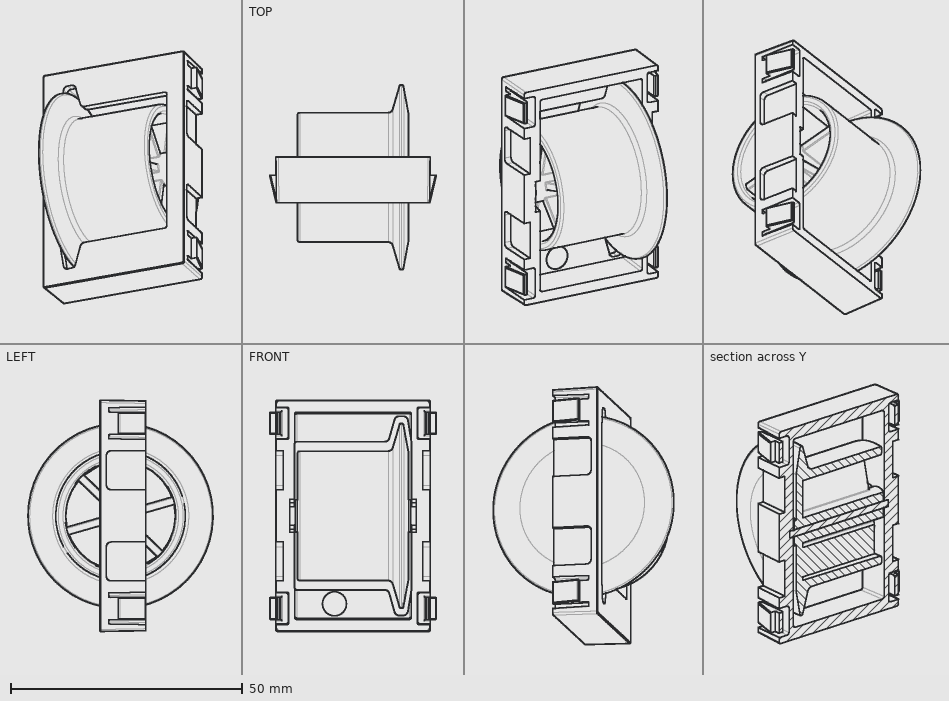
import cadquery as cq
import math

FRAME_WIDTH = 33.4
FRAME_HEIGHT = 50.0
FRAME_DEPTH = 10.0
BACK_Y = 4.5
FRONT_Y = BACK_Y - FRAME_DEPTH
DRAFT = 1.0
FRAME_CORNER = 0.5
BACK_CHAMFER = 0.2
DRAFT_SLOPE = math.tan(math.radians(DRAFT))

PLATE_THICKNESS = 2.0
PLATE_Y = BACK_Y - PLATE_THICKNESS
WINDOW_HALF_WIDTH = 12.6
WINDOW_FRONT_HALF_HEIGHT = 22.4
WINDOW_REAR_HALF_HEIGHT = 22.1
WINDOW_ROUND = 0.5

DRUM_GAP_HALF_HEIGHT = 16.0
FLANGE_GAP_HALF_HEIGHT = 21.5
FLANGE_GAP_FOOT_X = 7.65
FLANGE_GAP_LEFT_X = 9.2
FLANGE_GAP_RIGHT_X = 11.7
FLANGE_GAP_ROUND = 1.0

MARK_RADIUS = 2.6
MARK_DEPTH = 0.1
MARK_X = -4.0
MARK_Z = -19.0

LATCH_Z = 20.0
POCKET_HALF_HEIGHT = 3.5
POCKET_INNER_X = 13.85
POCKET_OVERRUN = 2.5
TONGUE_HALF_HEIGHT = 2.4
TONGUE_INNER_X = 15.6
TONGUE_TIP_OUTER_X = 16.6
TONGUE_TIP_BEVEL = 0.35
TONGUE_ROOT_ROUND = 0.3
HOOK_X = 17.95
HOOK_Y = 0.5
HOOK_LAND = 0.3
HOOK_BEVEL = 0.2

RECESS_Z = 9.85
RECESS_HEIGHT = 8.4
RECESS_DEPTH = 1.6
RECESS_BACK_Y = 3.05
RECESS_ROUND = 1.0

AXLE_RADIUS = 2.0
SEAT_DEPTH = 1.1
SEAT_X = WINDOW_HALF_WIDTH + SEAT_DEPTH
SEAT_MOUTH_HALF = 3.55
SEAT_THROAT_HALF = 2.85
SEAT_THROAT_Y = -AXLE_RADIUS

DRUM_RADIUS = 14.0
WHEEL_HALF_WIDTH = 12.0
DRUM_EDGE_ROUND = 0.5
FLANGE_RADIUS = 20.0
FLANGE_FOOT_X = 8.35
FLANGE_TIP_LEFT_X = 10.1
FLANGE_TIP_RIGHT_X = 10.85
FLANGE_FACE_RADIUS = 13.8
FLANGE_FOOT_ROUND = 1.0
FLANGE_TIP_ROUND = 0.45
BORE_RADIUS = 12.0
BORE_FLOOR_RADIUS = 11.8
BORE_MOUTH_ROUND = 0.5
WEB_THICKNESS = 2.0
BORE_FLOOR_X = WHEEL_HALF_WIDTH - WEB_THICKNESS
HUB_RADIUS = 3.5
HUB_HALF_LENGTH = 12.5

SPOKE_COUNT = 6
SPOKE_ANGLE = -16.0
SPOKE_FRONT_X = -10.0
SPOKE_THICKNESS = 1.7
SPOKE_EDGE_ROUND = 0.2

SIDES = (-1, 1)


def on_side(left_feature, side):
    """Return a feature modelled on the -X side, mirrored when it belongs to the +X side."""
    return left_feature if side < 0 else left_feature.mirror("YZ")


def frame_block():
    chamfer_gain = 2 * BACK_CHAMFER * DRAFT_SLOPE
    block = (
        cq.Workplane("XZ", origin=(0, BACK_Y, 0))
        .rect(FRAME_WIDTH + chamfer_gain, FRAME_HEIGHT + chamfer_gain)
        .extrude(FRAME_DEPTH, taper=DRAFT)
        .edges("not(>Y or <Y)")
        .fillet(FRAME_CORNER)
    )
    return block.faces(">Y").edges().chamfer(BACK_CHAMFER)


def window():
    """Cavity with sloping floor and ceiling, rounded at its side walls."""
    profile = [
        (FRONT_Y, -WINDOW_FRONT_HALF_HEIGHT),
        (PLATE_Y, -WINDOW_REAR_HALF_HEIGHT),
        (PLATE_Y, WINDOW_REAR_HALF_HEIGHT),
        (FRONT_Y, WINDOW_FRONT_HALF_HEIGHT),
    ]
    cavity = cq.Workplane("YZ").polyline(profile).close().extrude(WINDOW_HALF_WIDTH, both=True)
    return cavity.edges("(<X or >X) and (not <Y)").fillet(WINDOW_ROUND)


def plate_opening():
    """Wheel outline with clearance, cut through the back plate."""
    upper = [
        (-WINDOW_HALF_WIDTH, DRUM_GAP_HALF_HEIGHT),
        (FLANGE_GAP_FOOT_X, DRUM_GAP_HALF_HEIGHT),
        (FLANGE_GAP_LEFT_X, FLANGE_GAP_HALF_HEIGHT),
        (FLANGE_GAP_RIGHT_X, FLANGE_GAP_HALF_HEIGHT),
        (WINDOW_HALF_WIDTH, DRUM_GAP_HALF_HEIGHT),
    ]
    lower = [(x, -z) for x, z in reversed(upper)]
    opening = (
        cq.Workplane("XZ", origin=(0, BACK_Y, 0))
        .polyline(upper + lower)
        .close()
        .extrude(PLATE_THICKNESS + WINDOW_ROUND)
    )
    opening = opening.edges("|Y").edges("<X").fillet(WINDOW_ROUND)
    slack = 0.05
    flange_corners = cq.selectors.BoxSelector(
        (FLANGE_GAP_FOOT_X - slack, FRONT_Y, -FRAME_HEIGHT),
        (FLANGE_GAP_RIGHT_X + slack, BACK_Y, FRAME_HEIGHT),
    )
    return opening.edges("|Y").edges(flange_corners).fillet(FLANGE_GAP_ROUND)


def plate_mark():
    return (
        cq.Workplane("XZ", origin=(MARK_X, PLATE_Y + MARK_DEPTH, MARK_Z))
        .circle(MARK_RADIUS)
        .extrude(MARK_DEPTH)
    )


def latch_pocket(side, z):
    outer_x = FRAME_WIDTH / 2 + POCKET_OVERRUN
    pocket = (
        cq.Workplane("XZ", origin=(-(outer_x + POCKET_INNER_X) / 2, FRONT_Y, z))
        .rect(outer_x - POCKET_INNER_X, 2 * POCKET_HALF_HEIGHT)
        .extrude(FRONT_Y - PLATE_Y, taper=DRAFT)
        .edges("not(>Y or <Y)")
        .fillet(FRAME_CORNER)
    )
    return on_side(pocket, side)


def wall_x(y):
    """Distance of the drafted outer side wall from the middle plane."""
    return FRAME_WIDTH / 2 - (BACK_Y - BACK_CHAMFER - y) * DRAFT_SLOPE


def latch_tongue(side, z):
    tongue = (
        cq.Workplane("XY", origin=(0, 0, z))
        .polyline([
            (-TONGUE_INNER_X, PLATE_Y),
            (-TONGUE_INNER_X, FRONT_Y + TONGUE_TIP_BEVEL),
            (-TONGUE_INNER_X - TONGUE_TIP_BEVEL, FRONT_Y),
            (-TONGUE_TIP_OUTER_X, FRONT_Y),
            (-HOOK_X, HOOK_Y - HOOK_LAND),
            (-HOOK_X, HOOK_Y),
            (-wall_x(HOOK_Y), HOOK_Y),
            (-wall_x(PLATE_Y), PLATE_Y),
        ])
        .close()
        .extrude(TONGUE_HALF_HEIGHT, both=True)
    )
    ramp_middle = (
        -(TONGUE_TIP_OUTER_X + HOOK_X) / 2,
        (FRONT_Y + HOOK_Y - HOOK_LAND) / 2,
        z,
    )
    ramp = tongue.faces(cq.selectors.NearestToPointSelector(ramp_middle))
    hook = ramp.edges("(not |Z) or <Y").chamfer(HOOK_BEVEL)
    return on_side(hook, side)


def round_tongue_root(housing, side, z):
    """Fillet the inner side, top and bottom of a tongue where it meets the pocket floor."""
    reach = 0.05
    inner_x = side * (TONGUE_INNER_X - reach)
    outer_x = side * (FRAME_WIDTH / 2 - reach)
    half_height = TONGUE_HALF_HEIGHT + reach
    root = cq.selectors.BoxSelector(
        (min(inner_x, outer_x), PLATE_Y - reach, z - half_height),
        (max(inner_x, outer_x), PLATE_Y + reach, z + half_height),
    )
    return housing.edges(root).fillet(TONGUE_ROOT_ROUND)


def side_recess(side, z):
    depth_y = RECESS_BACK_Y - FRONT_Y
    recess = (
        cq.Workplane("XY")
        .box(RECESS_DEPTH, depth_y, RECESS_HEIGHT, centered=(False, False, True))
        .edges("|X and >Y")
        .fillet(RECESS_ROUND)
        .translate((-FRAME_WIDTH / 2, FRONT_Y, z))
    )
    return on_side(recess, side)


def axle_seat():
    """Slots in both side walls: a funnel from the front, then a round-ended seat."""
    funnel = (
        cq.Workplane("YZ")
        .polyline([
            (FRONT_Y, -SEAT_MOUTH_HALF),
            (SEAT_THROAT_Y, -SEAT_THROAT_HALF),
            (SEAT_THROAT_Y, SEAT_THROAT_HALF),
            (FRONT_Y, SEAT_MOUTH_HALF),
        ])
        .close()
        .extrude(SEAT_X, both=True)
    )
    slot = (
        cq.Workplane("YZ")
        .moveTo(SEAT_THROAT_Y, -AXLE_RADIUS)
        .lineTo(0, -AXLE_RADIUS)
        .threePointArc((AXLE_RADIUS, 0), (0, AXLE_RADIUS))
        .lineTo(SEAT_THROAT_Y, AXLE_RADIUS)
        .close()
        .extrude(SEAT_X, both=True)
    )
    return funnel.union(slot)


def make_housing():
    housing = frame_block().cut(window()).cut(plate_opening()).cut(plate_mark()).cut(axle_seat())
    for side in SIDES:
        for z in (-LATCH_Z, LATCH_Z):
            housing = housing.cut(latch_pocket(side, z)).union(latch_tongue(side, z))
            housing = round_tongue_root(housing, side, z)
        for z in (-RECESS_Z, RECESS_Z):
            housing = housing.cut(side_recess(side, z))
    return housing


def revolve_about_x(profile):
    """Revolve (x, radius) points about the X axis."""
    return cq.Workplane("XY").polyline(profile).close().revolve(360, (0, 0, 0), (1, 0, 0))


def rim_at(x, radius):
    """Select circular edges around the X axis at x, up to the given radius."""
    slack = 0.025
    outer = radius + slack
    return cq.selectors.BoxSelector(
        (x - slack, -outer, -outer), (x + slack, outer, outer), boundingbox=True
    )


def spoke(angle):
    """Radial rib with rounded front edges, turned about the X axis from +Y."""
    upright = 90
    length_x = BORE_FLOOR_X - SPOKE_FRONT_X
    rib = (
        cq.Workplane("XY")
        .box(length_x, SPOKE_THICKNESS, BORE_RADIUS, centered=(False, True, False))
        .translate((SPOKE_FRONT_X, 0, 0))
        .edges("|Z and <X")
        .fillet(SPOKE_EDGE_ROUND)
    )
    return rib.rotate((0, 0, 0), (1, 0, 0), angle - upright)


def make_wheel():
    drum = revolve_about_x([
        (-WHEEL_HALF_WIDTH, 0),
        (-WHEEL_HALF_WIDTH, DRUM_RADIUS),
        (FLANGE_FOOT_X, DRUM_RADIUS),
        (FLANGE_TIP_LEFT_X, FLANGE_RADIUS),
        (FLANGE_TIP_RIGHT_X, FLANGE_RADIUS),
        (WHEEL_HALF_WIDTH, FLANGE_FACE_RADIUS),
        (WHEEL_HALF_WIDTH, 0),
    ])
    drum = drum.edges(rim_at(-WHEEL_HALF_WIDTH, DRUM_RADIUS)).fillet(DRUM_EDGE_ROUND)
    drum = drum.edges(rim_at(FLANGE_FOOT_X, DRUM_RADIUS)).fillet(FLANGE_FOOT_ROUND)
    for tip_x in (FLANGE_TIP_LEFT_X, FLANGE_TIP_RIGHT_X):
        drum = drum.edges(rim_at(tip_x, FLANGE_RADIUS)).fillet(FLANGE_TIP_ROUND)

    bore = revolve_about_x([
        (-WHEEL_HALF_WIDTH, 0),
        (-WHEEL_HALF_WIDTH, BORE_RADIUS),
        (BORE_FLOOR_X, BORE_FLOOR_RADIUS),
        (BORE_FLOOR_X, 0),
    ])
    wheel = drum.cut(bore)
    wheel = wheel.edges(rim_at(-WHEEL_HALF_WIDTH, BORE_RADIUS)).fillet(BORE_MOUTH_ROUND)

    for index in range(SPOKE_COUNT):
        wheel = wheel.union(spoke(SPOKE_ANGLE + index * 360 / SPOKE_COUNT))
    hub = cq.Workplane("YZ").circle(HUB_RADIUS).extrude(HUB_HALF_LENGTH, both=True)
    axle_hole = cq.Workplane("YZ").circle(AXLE_RADIUS).extrude(HUB_HALF_LENGTH, both=True)
    wheel = wheel.union(hub)
    spoke_roots = cq.selectors.BoxSelector(
        (SPOKE_FRONT_X, -HUB_RADIUS, -HUB_RADIUS), (BORE_FLOOR_X, HUB_RADIUS, HUB_RADIUS)
    )
    wheel = wheel.edges("|X").edges(spoke_roots).fillet(SPOKE_EDGE_ROUND)
    return wheel.cut(axle_hole)


def make_axle():
    return cq.Workplane("YZ").circle(AXLE_RADIUS).extrude(SEAT_X, both=True)


housing = make_housing().solids()
wheel = make_wheel().solids()
axle = make_axle().solids()

result = cq.Compound.makeCompound([housing.val(), wheel.val(), axle.val()])